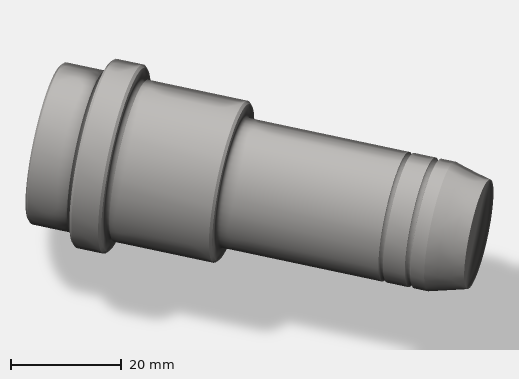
import cadquery as cq
import math

length = 81.0
collar_radius = 30.0 / 2
flange_radius = 35.0 / 2
shank_radius = 24.0 / 2
edge_chamfer = 0.5

flange_start = 8.9
flange_width = 6.0
flange_end = flange_start + flange_width
shoulder = 35.0
foot_fillet = 0.5

tip_start = 74.0
tip_radius = 10.1

groove_depth = 0.5
head_relief_start = 7.9
collar_relief_end = 15.9
shank_grooves = [(65.45, 66.3), (70.4, 71.45)]


def cylinder(start, end, radius):
    return cq.Workplane("YZ").workplane(offset=start).circle(radius).extrude(end - start)


def round_groove(start, end, radius):
    """Ring to cut away: an arc sunk into a cylinder of the given radius."""
    middle = (start + end) / 2
    return (
        cq.Workplane("XY")
        .moveTo(start, radius)
        .threePointArc((middle, radius - groove_depth), (end, radius))
        .close()
        .revolve(360, (0, 0, 0), (1, 0, 0))
    )


def make_collar():
    collar = cylinder(0, shoulder, collar_radius).edges().chamfer(edge_chamfer)
    collar = collar.cut(round_groove(head_relief_start, flange_start, collar_radius))
    return collar.cut(round_groove(flange_end, collar_relief_end, collar_radius))


def make_flange():
    return cylinder(flange_start, flange_end, flange_radius).edges().chamfer(edge_chamfer)


def make_shank():
    tip_length = length - tip_start
    shank = cylinder(shoulder, length, shank_radius)
    shank = shank.faces(">X").chamfer(tip_length, shank_radius - tip_radius)
    for start, end in shank_grooves:
        shank = shank.cut(round_groove(start, end, shank_radius))
    return shank


def make_foot_fillet():
    """Concave ring blending the shoulder face into the shank."""
    diagonal = foot_fillet * (1 - math.sqrt(0.5))
    return (
        cq.Workplane("XY")
        .moveTo(shoulder, shank_radius)
        .lineTo(shoulder, shank_radius + foot_fillet)
        .threePointArc((shoulder + diagonal, shank_radius + diagonal), (shoulder + foot_fillet, shank_radius))
        .close()
        .revolve(360, (0, 0, 0), (1, 0, 0))
    )


result = make_collar().union(make_flange()).union(make_shank()).union(make_foot_fillet())